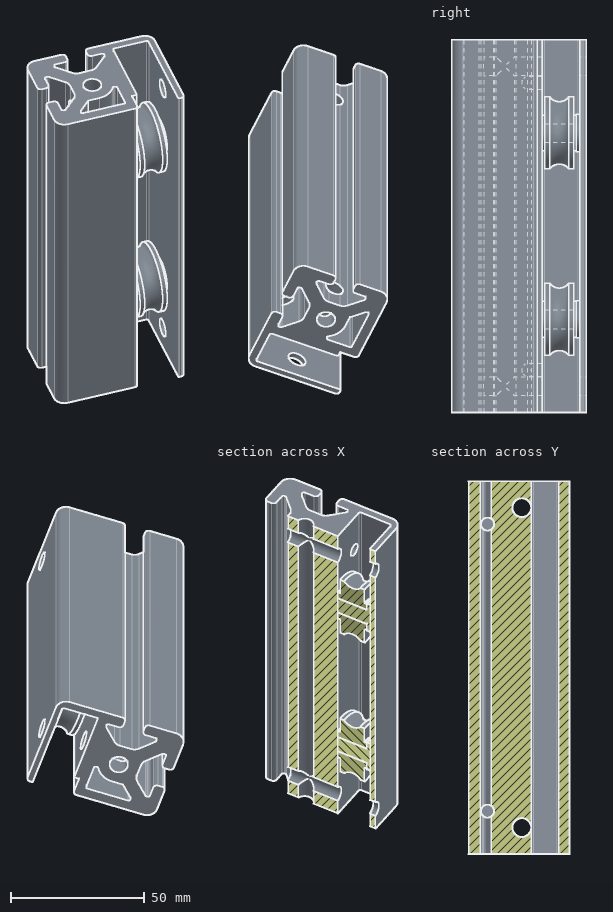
import cadquery as cq
import math

LENGTH = 140.0
LEFT = -20.0
BOTTOM = -20.0
RIGHT = LEFT + 38.0
TOP = BOTTOM + 50.5
OUTER_FILLET = 4.0
TIP_FILLET = 1.4
EDGE_BREAK = 0.4
CHANNEL_DIAMETER = 6.9

SIDE_WALL = 3.2
FLANGE_THICKNESS = 2.5
FLANGE_FACE = TOP - FLANGE_THICKNESS
WEB_FACE = 14.0
STEP_FACE = 12.0
STEP_X = 10.8
CHAMBER_FILLET = 0.7

SLOT_WIDTH = 8.0
LIP_THICKNESS = 4.5
CORE_HALF = 8.0
FLOOR_HALF = 3.8
SLOT_HALF = 10.0
FLOOR_FILLET = 3.5
SLOT_CORNER_FILLET = 0.7
LIP_FILLET = 1.4
LIP_INNER_FILLET = 1.4

POCKET_CORE_RADIUS = 7.8
POCKET_RIGHT = 13.9
POCKET_TOP = 8.4
POCKET_BOTTOM = -9.1
POCKET_LEFT = 3.6
POCKET_SLANT_START = -4.3
POCKET_FILLET = 0.7

MOUNTING_DIAMETER = 7.0
MOUNTING_END_DISTANCE = 10.0
SCREW_DIAMETER = 4.9
SCREW_X = -12.9
SCREW_END_DISTANCE = 16.1

AXLE_X = -1.8
AXLE_HEIGHTS = [LENGTH / 4, LENGTH * 3 / 4]
ROLLER_DIAMETER = 27.0
ROLLER_WIDTH = 10.8
HUB_DIAMETER = 13.5
HUB_HEIGHT = 1.0
ROLLER_BOTTOM = WEB_FACE + HUB_HEIGHT
ROLLER_TOP = ROLLER_BOTTOM + ROLLER_WIDTH
HUB_TOP = ROLLER_TOP + HUB_HEIGHT
GROOVE_WIDTH = 7.1
GROOVE_RADIUS = 4.5
AXLE_DIAMETER = 7.0
HEAD_DIAMETER = 14.0


def round_edges(body, radius, corners):
    """Fillet the edges parallel to Z that pass through the given (x, y) corners."""
    reach = 0.07
    edges = []
    for x, y in corners:
        box = cq.selectors.BoxSelector((x - reach, y - reach, -1.4), (x + reach, y + reach, LENGTH + 1.4))
        edges += body.edges("|Z").edges(box).vals()
    return body.newObject(edges).fillet(radius)


def make_outer_section():
    """Square section with the side wall and flange around the roller chamber."""
    inner_wall = LEFT + SIDE_WALL
    body = (
        cq.Workplane("XY")
        .polyline([
            (LEFT, BOTTOM), (RIGHT, BOTTOM), (RIGHT, STEP_FACE), (STEP_X, STEP_FACE),
            (STEP_X, WEB_FACE), (inner_wall, WEB_FACE), (inner_wall, FLANGE_FACE),
            (RIGHT, FLANGE_FACE), (RIGHT, TOP), (LEFT, TOP),
        ])
        .close()
        .extrude(LENGTH)
    )
    body = round_edges(body, OUTER_FILLET, [(LEFT, BOTTOM), (RIGHT, BOTTOM), (LEFT, TOP)])
    body = round_edges(body, TIP_FILLET, [(RIGHT, STEP_FACE), (RIGHT, TOP)])
    body = round_edges(body, EDGE_BREAK, [(STEP_X, WEB_FACE), (RIGHT, FLANGE_FACE)])
    return round_edges(body, CHAMBER_FILLET, [(inner_wall, WEB_FACE), (inner_wall, FLANGE_FACE)])


def cut_t_slot(body, turn):
    """Cut a T slot into the -Y side, turned about Z by a number of clockwise quarter turns."""
    mouth_half = SLOT_WIDTH / 2
    lip_back = BOTTOM + LIP_THICKNESS
    slant_end = -CORE_HALF - (SLOT_HALF - FLOOR_HALF)

    def turned(points):
        for _ in range(turn):
            points = [(y, -x) for x, y in points]
        return points

    def both_sides(x, y):
        return turned([(-x, y), (x, y)])

    outline = turned([
        (-mouth_half, BOTTOM), (-mouth_half, lip_back), (-SLOT_HALF, lip_back), (-SLOT_HALF, slant_end),
        (-FLOOR_HALF, -CORE_HALF), (FLOOR_HALF, -CORE_HALF), (SLOT_HALF, slant_end),
        (SLOT_HALF, lip_back), (mouth_half, lip_back), (mouth_half, BOTTOM),
    ])
    body = body.cut(cq.Workplane("XY").polyline(outline).close().extrude(LENGTH))
    body = round_edges(body, FLOOR_FILLET, both_sides(FLOOR_HALF, -CORE_HALF))
    slot_corners = both_sides(SLOT_HALF, lip_back) + both_sides(SLOT_HALF, slant_end)
    body = round_edges(body, SLOT_CORNER_FILLET, slot_corners)
    body = round_edges(body, LIP_FILLET, both_sides(mouth_half, BOTTOM))
    return round_edges(body, LIP_INNER_FILLET, both_sides(mouth_half, lip_back))


def make_pocket():
    """Closed pocket that wraps around the rounded +X side of the core."""
    arc_start = (POCKET_LEFT, math.sqrt(POCKET_CORE_RADIUS**2 - POCKET_LEFT**2))
    arc_angle = math.atan2(arc_start[1], arc_start[0]) / 2
    arc_middle = (POCKET_CORE_RADIUS * math.cos(arc_angle), POCKET_CORE_RADIUS * math.sin(arc_angle))
    slant_end = POCKET_CORE_RADIUS + POCKET_SLANT_START - POCKET_BOTTOM
    pocket = (
        cq.Workplane("XY")
        .moveTo(POCKET_LEFT, POCKET_TOP)
        .lineTo(*arc_start)
        .threePointArc(arc_middle, (POCKET_CORE_RADIUS, 0))
        .lineTo(POCKET_CORE_RADIUS, POCKET_SLANT_START)
        .lineTo(slant_end, POCKET_BOTTOM)
        .lineTo(POCKET_RIGHT, POCKET_BOTTOM)
        .lineTo(POCKET_RIGHT, POCKET_TOP)
        .close()
        .extrude(LENGTH)
    )
    corners = [
        (POCKET_RIGHT, POCKET_TOP), (POCKET_RIGHT, POCKET_BOTTOM), (slant_end, POCKET_BOTTOM),
        (POCKET_LEFT, POCKET_TOP), arc_start,
    ]
    return round_edges(pocket, POCKET_FILLET, corners)


def cylinder_along_y(diameter, x, z, y_start, y_end):
    return cq.Workplane(cq.Solid.makeCylinder(
        diameter / 2, y_end - y_start, cq.Vector(x, y_start, z), cq.Vector(0, 1, 0)))


def make_housing():
    body = make_outer_section()
    for turn in (0, 1):
        body = cut_t_slot(body, turn)
    body = body.cut(make_pocket())
    body = body.cut(cq.Workplane("XY").circle(CHANNEL_DIAMETER / 2).extrude(LENGTH))
    for z in (MOUNTING_END_DISTANCE, LENGTH - MOUNTING_END_DISTANCE):
        body = body.cut(cylinder_along_y(MOUNTING_DIAMETER, 0, z, BOTTOM, TOP))
    for z in (SCREW_END_DISTANCE, LENGTH - SCREW_END_DISTANCE):
        body = body.cut(cylinder_along_y(SCREW_DIAMETER, SCREW_X, z, 0, WEB_FACE))
    return body


def make_roller(z):
    """Grooved wheel with a plain bore and a hub on both sides."""
    outer = ROLLER_DIAMETER / 2
    hub = HUB_DIAMETER / 2
    bore = AXLE_DIAMETER / 2
    middle = (ROLLER_BOTTOM + ROLLER_TOP) / 2
    groove_half = GROOVE_WIDTH / 2
    groove_depth = GROOVE_RADIUS - math.sqrt(GROOVE_RADIUS**2 - groove_half**2)
    profile = (
        cq.Workplane("XY")
        .moveTo(bore, WEB_FACE)
        .lineTo(hub, WEB_FACE)
        .lineTo(hub, ROLLER_BOTTOM)
        .lineTo(outer, ROLLER_BOTTOM)
        .lineTo(outer, middle - groove_half)
        .threePointArc((outer - groove_depth, middle), (outer, middle + groove_half))
        .lineTo(outer, ROLLER_TOP)
        .lineTo(hub, ROLLER_TOP)
        .lineTo(hub, HUB_TOP)
        .lineTo(bore, HUB_TOP)
        .close()
    )
    return profile.revolve(360, (0, 0), (0, 1)).translate((AXLE_X, 0, z))


def make_axle(z):
    """Pin from the web through the roller, with a flat head between the hub and the flange."""
    pin = cylinder_along_y(AXLE_DIAMETER, AXLE_X, z, WEB_FACE, HUB_TOP)
    head = cylinder_along_y(HEAD_DIAMETER, AXLE_X, z, HUB_TOP, FLANGE_FACE)
    return pin.union(head)


housing = make_housing()
rollers = [make_roller(z) for z in AXLE_HEIGHTS]
axles = [make_axle(z) for z in AXLE_HEIGHTS]

result = cq.Compound.makeCompound(
    [housing.val()] + [roller.val() for roller in rollers] + [axle.val() for axle in axles]
)